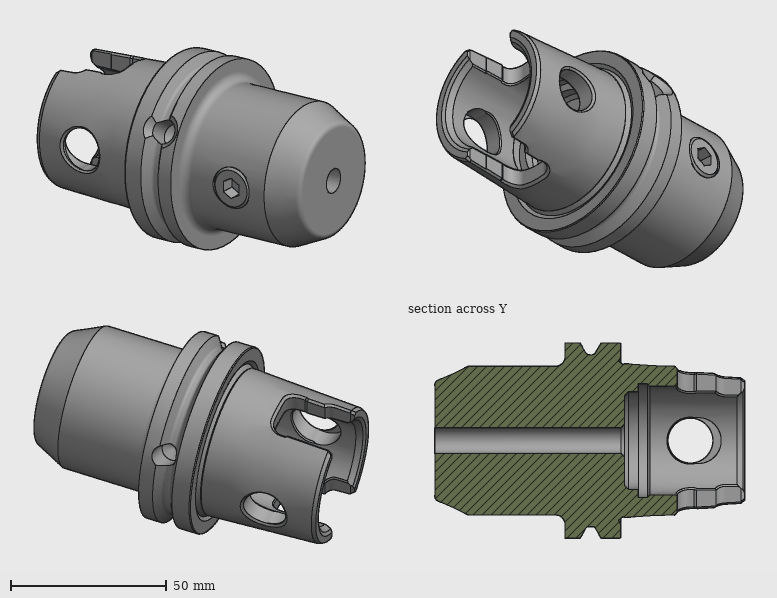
import cadquery as cq
import math


shank_length = 39.95
taper_root_radius = 24.9
taper_slope = 0.05
tip_bevel_length = 1.3
tip_bevel_height = 0.6

trough_bottom_radius = 25.7
trough_outer_radius = 27.0
trough_depth = 0.7
neck_radius = 24.5
neck_wall_start = -0.7
taper_end = -1.1

flange_radius = 31.5
flange_width = 18.0
flange_bevel_length = 0.4
flange_bevel_height = 0.25
groove_center = 9.75
groove_mouth = 6.7
groove_floor_radius = 27.75
groove_wall_angle = 30.0
groove_corner_fillet = 1.0

nose_radius = 24.0
nose_end = 60.0
nose_root_fillet = 3.0
nose_cone_start = 49.2
nose_cone_angle = 24.9
nose_end_fillet = 2.0

bore_radius = 17.5
bore_mouth_radius = 20.1
bore_step_radius = 18.9
bore_mouth_length = 0.6
bore_step_length = 1.9
bore_end = -5.6
clamp_groove_radius = 18.3
clamp_groove_length = 3.7
clamp_groove_slope = 0.8
pocket_radius = 15.7
pocket_floor_radius = 14.5
pocket_depth = 4.4
coolant_radius = 4.1
coolant_bevel = 1.2

slot_end = -18.2
slot_half_width = 8.0
slot_corner_half_width = 8.4
slot_corner_radius = 4.0
slot_corner_start = -24.4
slot_corner_blend = 0.8
slot_entry_step = 0.2
slot_entry_end = -31.7
slot_key_half_width = 10.05
slot_key_end = -33.7
slot_key_corner_radius = 3.4
slot_mouth_bevel = 0.5
slot_edge_bevel = 0.9

access_x = -22.4
access_radius = 7.2
access_bevel = 0.8
relief_radius = 7.4
relief_offset = 2.5
relief_reach = 21.6

bore_rim_bevel = 0.4

flange_hole_x = 11.2
countersunk_hole_radius = 4.1
plain_hole_radius = 3.8
flange_hole_floor = 21.5
flange_hole_angle = 30.0
flange_hole_tip_angle = 118.0
countersink_radius = 6.35

screw_x = 36.4
screw_radius = 7.0
screw_length = 16.0
screw_top = nose_radius
screw_bevel = 0.8
hex_across_flats = 6.0
hex_depth = 5.0

select_margin = 0.1
cut_overshoot = 1.0


def taper_radius(x):
    return taper_root_radius + taper_slope * x


def ring(x, radius):
    """Select the circular edge around the tool axis at X with the given radius."""
    half = radius + select_margin
    return cq.selectors.BoxSelector(
        (x - select_margin, -half, -half), (x + select_margin, half, half), boundingbox=True
    )


def outer_body():
    """Revolved outside of the holder, solid down to the axis."""
    tip = -shank_length
    tip_radius = taper_radius(tip + tip_bevel_length)
    groove_start = groove_center - groove_mouth / 2
    groove_stop = groove_center + groove_mouth / 2
    wall_run = (flange_radius - groove_floor_radius) * math.tan(math.radians(groove_wall_angle))
    cone_slope = math.tan(math.radians(nose_cone_angle))
    nose_end_radius = nose_radius - (nose_end - nose_cone_start) * cone_slope
    profile = (
        cq.Workplane("XY")
        .moveTo(tip, 0)
        .lineTo(tip, tip_radius - tip_bevel_height)
        .lineTo(tip + tip_bevel_length, tip_radius)
        .lineTo(taper_end, taper_radius(taper_end))
        .lineTo(neck_wall_start, neck_radius)
        .lineTo(trough_depth, trough_bottom_radius)
        .lineTo(0, trough_outer_radius)
        .lineTo(0, flange_radius - flange_bevel_height)
        .lineTo(flange_bevel_length, flange_radius)
        .lineTo(groove_start, flange_radius)
        .lineTo(groove_start + wall_run, groove_floor_radius)
        .lineTo(groove_stop - wall_run, groove_floor_radius)
        .lineTo(groove_stop, flange_radius)
        .lineTo(flange_width, flange_radius)
        .lineTo(flange_width, nose_radius)
        .lineTo(nose_cone_start, nose_radius)
        .lineTo(nose_end, nose_end_radius)
        .lineTo(nose_end, 0)
        .close()
    )
    body = profile.revolve(360, (0, 0, 0), (1, 0, 0))

    for x in (groove_start + wall_run, groove_stop - wall_run):
        body = body.edges(ring(x, groove_floor_radius)).fillet(groove_corner_fillet)
    body = body.edges(ring(flange_width, nose_radius)).fillet(nose_root_fillet)
    return body.edges(ring(nose_end, nose_end_radius)).fillet(nose_end_fillet)


def cavity():
    """Revolved hollow of the taper with the coolant hole through the nose."""
    tip = -shank_length
    pocket_floor = bore_end + pocket_depth
    pocket_bevel = pocket_radius - pocket_floor_radius
    clamp_start = bore_end - clamp_groove_length
    return (
        cq.Workplane("XY")
        .moveTo(tip, 0)
        .lineTo(tip, bore_mouth_radius)
        .lineTo(tip + bore_mouth_length, bore_step_radius)
        .lineTo(tip + bore_mouth_length + bore_step_length, bore_radius)
        .lineTo(clamp_start, bore_radius)
        .lineTo(clamp_start + clamp_groove_slope, clamp_groove_radius)
        .lineTo(bore_end, clamp_groove_radius)
        .lineTo(bore_end, pocket_radius)
        .lineTo(pocket_floor - pocket_bevel, pocket_radius)
        .lineTo(pocket_floor, pocket_floor_radius)
        .lineTo(pocket_floor, coolant_radius + coolant_bevel)
        .lineTo(pocket_floor + coolant_bevel, coolant_radius)
        .lineTo(nose_end, coolant_radius)
        .lineTo(nose_end, 0)
        .close()
        .revolve(360, (0, 0, 0), (1, 0, 0))
    )


def drive_slots():
    """One prism along Z that cuts both drive slots."""
    tip = -shank_length
    mouth_end = tip + tip_bevel_length
    arc_x = slot_end - slot_corner_radius
    floor_half = slot_corner_half_width - slot_corner_radius
    blend_end = slot_corner_start + slot_corner_blend
    key_rise = slot_key_corner_radius - (slot_key_half_width - slot_half_width)
    key_runout = math.sqrt(slot_key_corner_radius**2 - key_rise**2)
    return (
        cq.Workplane("XY")
        .workplane(offset=-flange_radius)
        .moveTo(tip, slot_half_width + slot_mouth_bevel)
        .lineTo(mouth_end, slot_half_width)
        .lineTo(slot_corner_start, slot_half_width)
        .lineTo(blend_end, slot_corner_half_width)
        .lineTo(arc_x, slot_corner_half_width)
        .tangentArcPoint((slot_end, floor_half), relative=False)
        .lineTo(slot_end, -floor_half)
        .tangentArcPoint((arc_x, -slot_corner_half_width), relative=False)
        .lineTo(blend_end, -slot_corner_half_width)
        .lineTo(slot_corner_start, -slot_half_width)
        .lineTo(slot_key_end + key_runout, -slot_half_width)
        .radiusArc((slot_key_end, -slot_key_half_width), slot_key_corner_radius)
        .lineTo(mouth_end, -slot_key_half_width)
        .lineTo(tip, -slot_key_half_width - slot_mouth_bevel)
        .close()
        .extrude(2 * flange_radius)
    )


def slot_rims(start, low, high):
    """Select slot edges beyond the given X whose centers lie between two heights."""
    half_width = slot_key_half_width + slot_edge_bevel
    end = slot_end + select_margin
    return cq.selectors.BoxSelector(
        (start - select_margin, -half_width, low), (end, half_width, high)
    ) + cq.selectors.BoxSelector(
        (start - select_margin, -half_width, -high), (end, half_width, -low)
    )


def access_rims(low, high):
    """Select cross hole edges that lie between two distances from the XZ plane."""
    reach = access_radius + select_margin
    left = access_x - reach
    right = access_x + reach
    return cq.selectors.BoxSelector(
        (left, low, -reach), (right, high, reach), boundingbox=True
    ) + cq.selectors.BoxSelector(
        (left, -high, -reach), (right, -low, reach), boundingbox=True
    )


def cut_drive_slots(shank):
    """Cut the slots, bevel their outer rims and widen the +Y side at the tip."""
    slotted = shank.cut(drive_slots())
    rims = slot_rims(-shank_length, bore_mouth_radius, flange_radius)
    slotted = slotted.edges(rims).chamfer(slot_edge_bevel)
    entry_length = shank_length + slot_entry_end
    entry = (
        cq.Workplane("XY")
        .box(entry_length, slot_entry_step, 2 * flange_radius, centered=(False, False, True))
        .translate((-shank_length, slot_half_width, 0))
    )
    return slotted.cut(entry)


def cut_access_hole(shank):
    """Drill through the taper along Y and bevel both mouths."""
    hole = cq.Workplane("XZ").center(access_x, 0).circle(access_radius)
    drilled = shank.cut(hole.extrude(flange_radius, both=True))
    return drilled.edges(access_rims(bore_mouth_radius, flange_radius)).chamfer(access_bevel)


def access_relief():
    """Recess on the bore side that widens the cross hole towards the tip."""
    center = access_x - relief_offset
    return cq.Workplane("XZ").center(center, 0).circle(relief_radius).extrude(relief_reach, both=True)


def break_bore_rims(holder):
    """Small chamfers where the slots and the cross hole open into the bore."""
    bore_start = -shank_length + bore_mouth_length + bore_step_length
    hole_edges = access_rims(slot_key_half_width, bore_radius + select_margin)
    holder = holder.edges(hole_edges).chamfer(bore_rim_bevel)
    slot_edges = slot_rims(bore_start, slot_key_half_width, bore_radius)
    return holder.edges(slot_edges).chamfer(bore_rim_bevel)


def flange_hole(radius, mouth_radius, angle):
    """Radial drill-point hole; the angle is measured from +Y towards +Z.

    A 90 degree countersink widens it to the mouth radius at the flange rim.
    """
    top = flange_radius + cut_overshoot
    tip_depth = radius / math.tan(math.radians(flange_hole_tip_angle / 2))
    hole = (
        cq.Workplane("XY")
        .moveTo(0, flange_hole_floor - tip_depth)
        .lineTo(radius, flange_hole_floor)
        .lineTo(radius, top)
        .lineTo(0, top)
        .close()
        .revolve(360, (0, 0, 0), (0, 1, 0))
    )
    if mouth_radius > radius:
        countersink = (
            cq.Workplane("XY")
            .moveTo(0, flange_radius - mouth_radius)
            .lineTo(mouth_radius, flange_radius)
            .lineTo(mouth_radius, top)
            .lineTo(0, top)
            .close()
            .revolve(360, (0, 0, 0), (0, 1, 0))
        )
        hole = hole.union(countersink)
    return hole.translate((flange_hole_x, 0, 0)).rotate((0, 0, 0), (1, 0, 0), angle)


def screw_blank(top):
    """Cylinder along Y between the screw's inner end and the given height."""
    bottom = screw_top - screw_length
    return (
        cq.Workplane("XZ", origin=(screw_x, -bottom, 0))
        .circle(screw_radius)
        .extrude(top - bottom)
    )


def make_holder():
    shank = cut_access_hole(cut_drive_slots(outer_body()))
    holder = break_bore_rims(shank.cut(cavity()))
    holder = holder.cut(access_relief())
    holder = holder.cut(flange_hole(countersunk_hole_radius, countersink_radius, 180 - flange_hole_angle))
    holder = holder.cut(flange_hole(plain_hole_radius, plain_hole_radius, flange_hole_angle))
    return holder.cut(screw_blank(nose_radius + cut_overshoot))


def make_screw():
    screw = screw_blank(screw_top).faces("<Y").chamfer(screw_bevel)
    across_corners = hex_across_flats / math.cos(math.pi / 6)
    socket = (
        cq.Workplane("XZ", origin=(screw_x, -screw_top + hex_depth, 0))
        .transformed(rotate=(0, 0, 90))
        .polygon(6, across_corners)
        .extrude(hex_depth)
    )
    return screw.cut(socket)


holder = make_holder()
screw = make_screw()
result = cq.Compound.makeCompound([holder.val(), screw.val()])